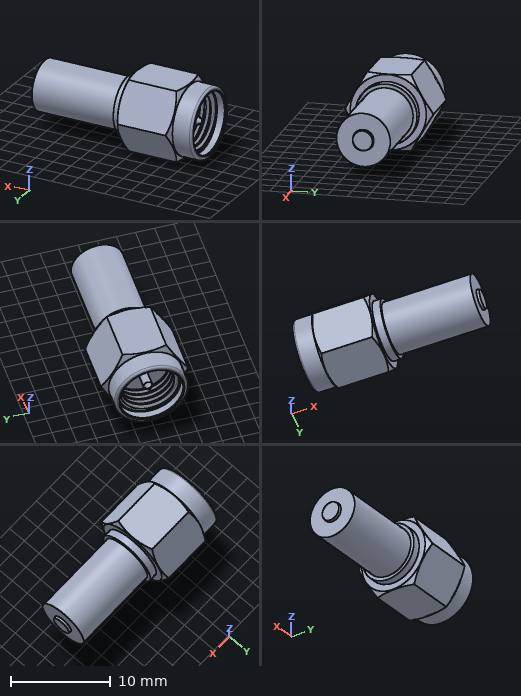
import cadquery as cq
import math


total_length = 19.05
hex_start = 2.15
hex_end = 8.38
collar_end = 9.25
barrel_end = 18.76

nose_radius = 3.87
nose_fillet = 0.25
across_flats = 7.92
hex_chamfer_angle = 30.0
rear_chamfer_radius = 3.92
collar_radius = 3.18
barrel_radius = 2.78
stub_base_radius = 1.09
stub_end_radius = 1.03

counterbore_radius = 3.31
mouth_chamfer = 0.11
counterbore_depth = 0.95
socket_depth = 3.65

thread_major_radius = 3.18
thread_minor_radius = 2.78
thread_pitch = 0.67
groove_root_width = 0.02
groove_advance = 0.1
flank_half_angle = 30.0
groove_overlap = 0.05

pin_radius = 0.45
pin_tip_radius = 0.13
pin_tip_start = 0.85
pin_cone_end = 1.35

hex_length = hex_end - hex_start
across_corners = across_flats / math.cos(math.radians(30))


def cylinder(radius, start, end):
    return cq.Workplane("YZ", origin=(start, 0, 0)).circle(radius).extrude(end - start)


def revolved(outline):
    """Revolve an (axial position, radius) outline about the X axis."""
    return cq.Workplane("XY").polyline(outline).close().revolve(360, (0, 0, 0), (1, 0, 0))


def hex_nut():
    """Hexagon with corners on Y, both ends turned to a shallow cone."""
    hexagon = cq.Workplane("YZ", origin=(hex_start, 0, 0)).polygon(6, across_corners).extrude(hex_length)
    slope = math.tan(math.radians(hex_chamfer_angle))
    envelope_radius = across_corners / 2 + 0.2
    front_cone = (envelope_radius - nose_radius) * slope
    rear_cone = (envelope_radius - rear_chamfer_radius) * slope
    envelope = revolved([
        (hex_start, 0),
        (hex_start, nose_radius),
        (hex_start + front_cone, envelope_radius),
        (hex_end - rear_cone, envelope_radius),
        (hex_end, rear_chamfer_radius),
        (hex_end, 0),
    ])
    return hexagon.intersect(envelope)


def turned_mouth():
    """Chamfered mouth and counterbore, with a 45 degree lead-in to the thread bore."""
    lead_in = thread_major_radius - thread_minor_radius
    return revolved([
        (0, 0),
        (0, counterbore_radius + mouth_chamfer),
        (mouth_chamfer, counterbore_radius),
        (counterbore_depth, counterbore_radius),
        (counterbore_depth, thread_major_radius),
        (counterbore_depth + lead_in, thread_minor_radius),
        (counterbore_depth + lead_in, 0),
    ])


def thread_groove():
    """Truncated V groove along a helix, trimmed at the socket floor.

    The helix begins on the -Z side, in the open space of the counterbore. Half a
    turn later, on the +Z side, its centre passes just ahead of the counterbore floor.
    """
    helix_start = counterbore_depth - groove_advance - thread_pitch / 2
    turns = math.ceil((socket_depth - helix_start) / thread_pitch) + 1
    helix_length = turns * thread_pitch

    inner_radius = thread_minor_radius - groove_overlap
    half_root = groove_root_width / 2
    half_mouth = half_root + (thread_major_radius - inner_radius) * math.tan(math.radians(flank_half_angle))
    section = [
        (inner_radius, -half_mouth),
        (thread_major_radius, -half_root),
        (thread_major_radius, half_root),
        (inner_radius, half_mouth),
    ]

    rails = [
        cq.Wire.makeHelix(thread_pitch, helix_length, radius, cq.Vector(0, 0, offset))
        for radius, offset in section
    ]
    faces = []
    for index, rail in enumerate(rails):
        faces += cq.Face.makeRuledSurface(rails[index - 1], rail).Faces()
    for cap_height in (0, helix_length):
        corners = [cq.Vector(radius, 0, offset + cap_height) for radius, offset in section]
        faces.append(cq.Face.makeFromWires(cq.Wire.makePolygon(corners, close=True)))
    groove = cq.Workplane(obj=cq.Solid.makeSolid(cq.Shell.makeShell(faces)))

    groove = groove.rotate((0, 0, 0), (0, 1, 0), 90).translate((helix_start, 0, 0))
    return groove.intersect(cylinder(counterbore_radius, 0, socket_depth))


def contact_pin():
    return revolved([
        (pin_tip_start, 0),
        (pin_tip_start, pin_tip_radius),
        (pin_cone_end, pin_radius),
        (socket_depth, pin_radius),
        (socket_depth, 0),
    ])


def tapered_stub():
    return revolved([
        (barrel_end, 0),
        (barrel_end, stub_base_radius),
        (total_length, stub_end_radius),
        (total_length, 0),
    ])


nose = cylinder(nose_radius, 0, hex_end).faces("<X").edges().fillet(nose_fillet)

threaded_nose = (
    nose
    .cut(cylinder(thread_minor_radius, 0, socket_depth))
    .cut(thread_groove())
    .cut(turned_mouth())
)

nut_ring = hex_nut().cut(cylinder(nose_radius, hex_start, hex_end))

result = (
    threaded_nose
    .union(nut_ring)
    .union(cylinder(collar_radius, hex_end, collar_end))
    .union(cylinder(barrel_radius, collar_end, barrel_end))
    .union(tapered_stub())
    .union(contact_pin())
)